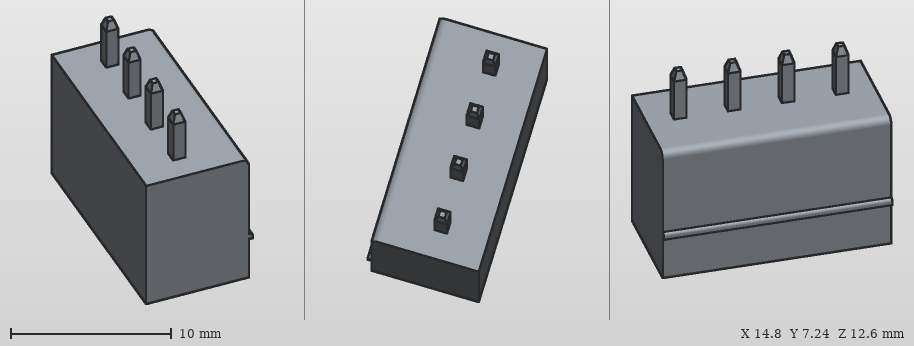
import cadquery as cq

length = 14.8
body_depth = 6.99
body_height = 9.2
top_edge_radius = 0.5

rib_projection = 0.25
rib_thickness = 0.41
rib_bottom = 2.97
rib_edge_radius = 0.2

pin_count = 4
pin_pitch = 3.5
pin_width = 0.81
pin_height = 3.39
pin_row_setback = 3.0
tip_height = 0.6
tip_width = pin_width / 2


def make_housing():
    """Block with its front face on Y = 0, base on Z = 0 and a rounded top back edge."""
    block = cq.Workplane("XY").box(length, body_depth, body_height, centered=(True, False, False))
    return block.edges(">Y and >Z").fillet(top_edge_radius)


def make_rib():
    """Full-length rib, rooted inside the housing, with its upper outer edge rounded."""
    root_depth = rib_projection
    rib = cq.Workplane("XY").box(
        length, root_depth + rib_projection, rib_thickness, centered=(True, False, False)
    )
    rib = rib.edges(">Y and >Z").fillet(rib_edge_radius)
    return rib.translate((0, body_depth - root_depth, rib_bottom))


def make_pin(x):
    """Square pin standing on the housing top, ending in a blunt pyramid."""
    shank_height = pin_height - tip_height
    shank = (
        cq.Workplane("XY", origin=(x, pin_row_setback, body_height))
        .rect(pin_width, pin_width)
        .extrude(shank_height)
    )
    tip = (
        shank.faces(">Z")
        .workplane()
        .rect(pin_width, pin_width)
        .workplane(offset=tip_height)
        .rect(tip_width, tip_width)
        .loft(combine=False)
    )
    return shank.union(tip)


result = make_housing().union(make_rib())
first_pin_x = -pin_pitch * (pin_count - 1) / 2
for index in range(pin_count):
    result = result.union(make_pin(first_pin_x + index * pin_pitch))